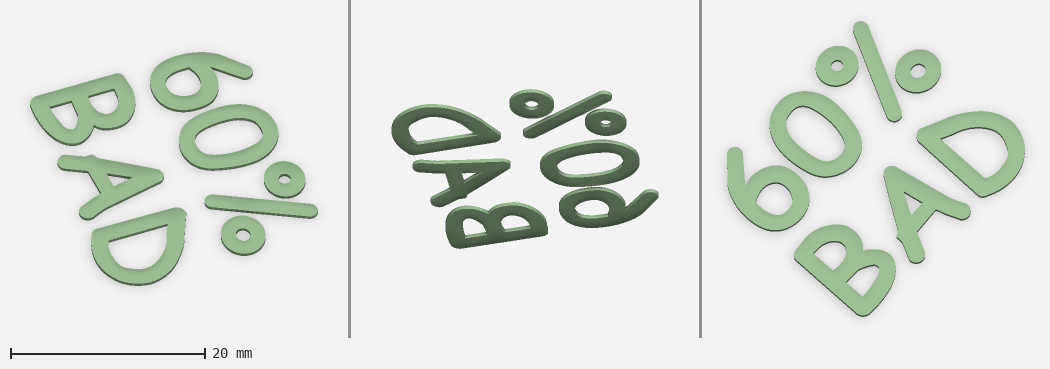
import cadquery as cq
import math

THICKNESS = 0.4


def pen(x, y):
    """A sketch plane with the pen set down at (x, y)."""
    return cq.Workplane("XY").moveTo(x, y)


def smooth_loop(points):
    """A closed outline that runs smoothly through all the points."""
    return cq.Workplane("XY").spline(points, periodic=True).close()


def plate(outline, *openings):
    """A plate with the given closed outline, cut through by each closed opening."""
    solid = outline.extrude(THICKNESS)
    for opening in openings:
        solid = solid.cut(opening.extrude(THICKNESS))
    return solid


def make_six():
    bowl_top = (2.35, 19.35)
    outline = (
        pen(*bowl_top)
        .lineTo(4.94, 22.13)
        .threePointArc((4.85, 23.15), (3.6, 23.12))
        .lineTo(1.35, 20.91)
        .spline(
            [
                (0.65, 19.75), (0.19, 18.42), (0.0, 16.8), (0.13, 15.42), (0.58, 14.25), (1.57, 13.27),
                (3.32, 12.77), (4.83, 12.98), (5.97, 13.67), (6.85, 15.07), (7.03, 16.55),
                (6.71, 18.07), (5.73, 19.1), (4.7, 19.53), (3.77, 19.67), bowl_top,
            ],
            includeCurrent=True,
        )
        .close()
    )
    bowl_opening = (
        pen(1.8, 17.35)
        .spline(
            [
                (2.73, 17.78), (3.42, 17.91), (4.35, 17.75), (5.05, 17.2), (5.25, 16.4), (5.1, 15.53),
                (4.35, 14.6), (3.42, 14.35), (2.5, 14.62), (2.0, 15.42), (1.8, 16.15),
            ],
            includeCurrent=True,
        )
        .close()
    )
    return plate(outline, bowl_opening)


def make_zero():
    outline = smooth_loop(
        [
            (11.65, 23.35), (13.16, 23.05), (14.55, 21.95), (15.37, 20.28), (15.5, 18.65), (15.23, 16.45),
            (14.15, 14.0), (13.03, 13.27), (11.47, 13.0), (9.75, 13.5), (8.52, 14.6), (7.88, 16.35),
            (7.67, 18.42), (7.88, 20.17), (9.18, 22.4), (10.38, 23.12),
        ]
    )
    opening = smooth_loop(
        [
            (11.65, 21.68), (13.03, 21.2), (13.55, 19.7), (13.67, 18.18), (13.45, 16.55), (12.75, 15.13),
            (11.65, 14.7), (10.27, 15.13), (9.7, 16.35), (9.47, 18.42), (9.75, 20.17), (10.72, 21.45),
        ]
    )
    return plate(outline, opening)


PERCENT_RINGS = [
    ((18.63, 21.82), (2.28, 2.12), (0.65, 0.6)),
    ((23.97, 15.4), (2.47, 2.28), (0.82, 0.75)),
]
SLASH_BOTTOM = cq.Vector(18.82, 13.88)
SLASH_TOP = cq.Vector(23.3, 22.9)
SLASH_WIDTH = 1.65


def make_percent_ring(center, outer_axes, hole_axes):
    return plate(pen(*center).ellipse(*outer_axes), pen(*center).ellipse(*hole_axes))


def make_slash():
    axis = SLASH_TOP - SLASH_BOTTOM
    middle = (SLASH_TOP + SLASH_BOTTOM) * 0.5
    angle = math.degrees(math.atan2(axis.y, axis.x))
    return plate(pen(middle.x, middle.y).slot2D(axis.Length + SLASH_WIDTH, SLASH_WIDTH, angle))


B_STEM_LEFT = 0.05
B_STEM_RIGHT = 1.8
D_STEM_RIGHT = 20.05


def make_b():
    waist = (5.52, 5.65)
    outline = (
        pen(B_STEM_LEFT, 1.22)
        .lineTo(B_STEM_LEFT, 10.09)
        .threePointArc((0.27, 10.45), (0.65, 10.67))
        .spline(
            [
                (1.57, 10.83), (2.63, 10.93), (4.11, 10.7), (5.57, 9.85), (6.32, 8.92),
                (6.53, 7.78), (6.35, 6.65), waist,
            ],
            includeCurrent=True,
        )
        .spline(
            [(6.6, 4.75), (7.17, 3.42), (7.0, 2.63), (5.68, 1.27), (3.77, 0.58), (2.1, 0.37), (0.88, 0.37)],
            includeCurrent=True,
        )
        .threePointArc((0.3, 0.72), (B_STEM_LEFT, 1.22))
        .close()
    )
    upper_opening = (
        pen(B_STEM_RIGHT, 9.18)
        .lineTo(2.85, 9.18)
        .spline(
            [
                (3.55, 9.02), (4.35, 8.47), (4.7, 7.78), (4.35, 6.9), (3.42, 6.4), (2.4, 6.3),
                (B_STEM_RIGHT, 6.37),
            ],
            includeCurrent=True,
        )
        .close()
    )
    lower_opening = (
        pen(B_STEM_RIGHT, 4.55)
        .lineTo(3.77, 4.55)
        .spline(
            [(4.7, 4.11), (5.35, 3.37), (5.05, 2.9), (4.0, 2.5), (2.79, 2.23), (B_STEM_RIGHT, 2.12)],
            includeCurrent=True,
        )
        .close()
    )
    return plate(outline, upper_opening, lower_opening)


def make_a():
    outline = (
        pen(13.08, 9.9)
        .threePointArc((14.0, 10.27), (14.7, 9.4))
        .lineTo(16.0, 3.13)
        .lineTo(16.5, 1.9)
        .threePointArc((15.76, 0.45), (14.9, 1.17))
        .lineTo(14.35, 2.45)
        .lineTo(14.07, 3.42)
        .lineTo(10.9, 3.1)
        .lineTo(9.8, 0.88)
        .threePointArc((9.0, 0.5), (8.1, 1.45))
        .lineTo(9.05, 3.42)
        .lineTo(9.05, 4.25)
        .threePointArc((9.35, 4.4), (9.7, 4.62))
        .lineTo(11.6, 7.65)
        .close()
    )
    opening = pen(13.22, 7.17).lineTo(13.67, 4.9).lineTo(11.8, 4.8).close()
    return plate(outline, opening)


def make_d():
    outline = (
        pen(18.2, 1.27)
        .lineTo(18.3, 9.98)
        .threePointArc((18.65, 10.54), (19.35, 10.83))
        .lineTo(21.5, 9.9)
        .spline(
            [
                (22.65, 9.45), (24.5, 8.23), (25.66, 7.0), (26.3, 5.73), (26.55, 4.55), (26.25, 3.03),
                (25.66, 1.9), (24.4, 0.77), (22.98, 0.15), (21.5, 0.0), (20.05, 0.2), (18.95, 0.65),
            ],
            includeCurrent=True,
        )
        .threePointArc((18.47, 0.88), (18.2, 1.27))
        .close()
    )
    opening = (
        pen(D_STEM_RIGHT, 8.55)
        .lineTo(21.25, 8.0)
        .spline(
            [
                (23.05, 7.15), (24.15, 6.02), (24.6, 5.1), (24.68, 4.55), (24.4, 3.42), (23.51, 2.2),
                (22.53, 1.85), (21.45, 1.75), (20.67, 1.85), (D_STEM_RIGHT, 2.1),
            ],
            includeCurrent=True,
        )
        .close()
    )
    return plate(outline, opening)


six = make_six()
zero = make_zero()
percent_rings = [make_percent_ring(*ring) for ring in PERCENT_RINGS]
slash = make_slash()
letter_b = make_b()
letter_a = make_a()
letter_d = make_d()

result = cq.Compound.makeCompound(
    [
        six.val(),
        zero.val(),
        *[ring.val() for ring in percent_rings],
        slash.val(),
        letter_b.val(),
        letter_a.val(),
        letter_d.val(),
    ]
)